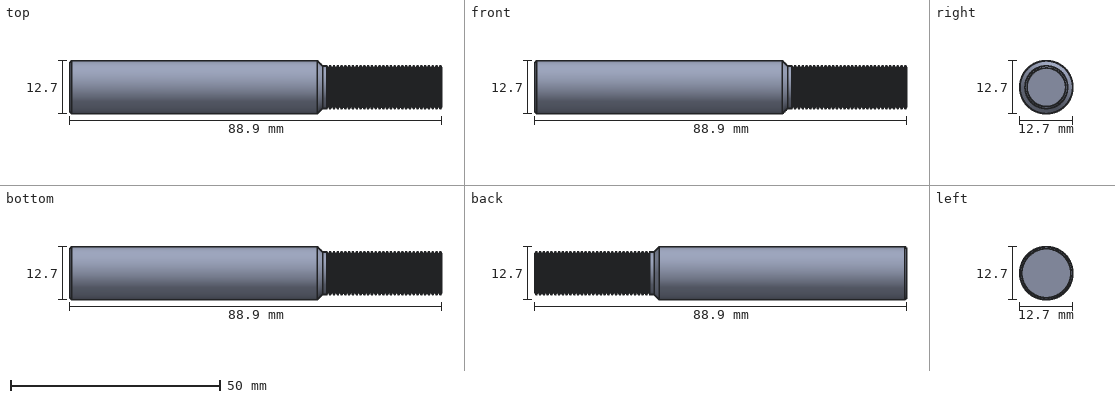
import cadquery as cq
import math

INCH = 25.4

total_length = 3.5 * INCH
body_radius = 0.5 * INCH / 2
tip_chamfer = 0.5

pitch = INCH / 28
ring_count = 30
crest_radius = 5.1
crest_width = pitch / 8
root_width = pitch / 4
flank_angle = math.radians(30)
flank_length = (pitch - crest_width - root_width) / 2
thread_depth = flank_length / math.tan(flank_angle)

neck_end_from_end = 27.54
neck_length = 0.96
shoulder_length = body_radius - crest_radius

x_min = -total_length / 2
x_max = total_length / 2
root_radius = crest_radius - thread_depth
neck_end = x_max - neck_end_from_end
neck_start = neck_end - neck_length
shoulder_start = neck_start - shoulder_length


def ring_points(crest_start):
    """Half-section of one thread ring, from its left root corner to its right one."""
    crest_end = crest_start + crest_width
    return [
        (crest_start - flank_length, root_radius),
        (crest_start, crest_radius),
        (crest_end, crest_radius),
        (crest_end + flank_length, root_radius),
    ]


def stud_profile():
    """Closed half-section of the stud, with its lower side on the X axis."""
    points = [
        (x_min, 0),
        (x_min, body_radius - tip_chamfer),
        (x_min + tip_chamfer, body_radius),
        (shoulder_start, body_radius),
        (neck_start, crest_radius),
        (neck_end, crest_radius),
        (neck_end + flank_length, root_radius),
    ]
    first_crest_start = neck_end + 2 * flank_length + root_width
    for ring in range(ring_count):
        points += ring_points(first_crest_start + ring * pitch)
    points += [(x_max, root_radius), (x_max, 0)]
    return cq.Workplane("XZ").polyline(points).close()


result = stud_profile().revolve(360, (0, 0, 0), (1, 0, 0))